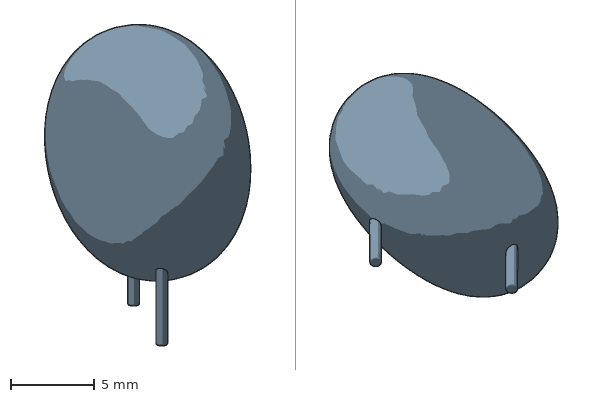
import cadquery as cq

body_diameter = 15.5
body_thickness = 7.2
edge_radius = 3.51

lead_diameter = 0.72
lead_pitch_x = 7.5
lead_pitch_y = 3.7
lead_length_below_body = 3.03
lead_tip_radius = lead_diameter / 5

body_radius = body_diameter / 2
body_center_z = body_radius


def make_body():
    """Disc with rounded rims that leave a narrow straight band around the middle."""
    disc = (
        cq.Workplane("XZ", origin=(0, 0, body_center_z))
        .circle(body_radius)
        .extrude(body_thickness / 2, both=True)
    )
    return disc.edges("%CIRCLE").fillet(edge_radius)


def make_lead(x, y):
    """Straight lead with a rounded tip, running up into the body as far as its centre."""
    return (
        cq.Workplane("XY", origin=(x, y, -lead_length_below_body))
        .circle(lead_diameter / 2)
        .extrude(lead_length_below_body + body_center_z)
        .faces("<Z")
        .edges()
        .fillet(lead_tip_radius)
    )


result = make_body()
for side in (-1, 1):
    lead = make_lead(side * lead_pitch_x / 2, -side * lead_pitch_y / 2)
    result = result.union(lead)